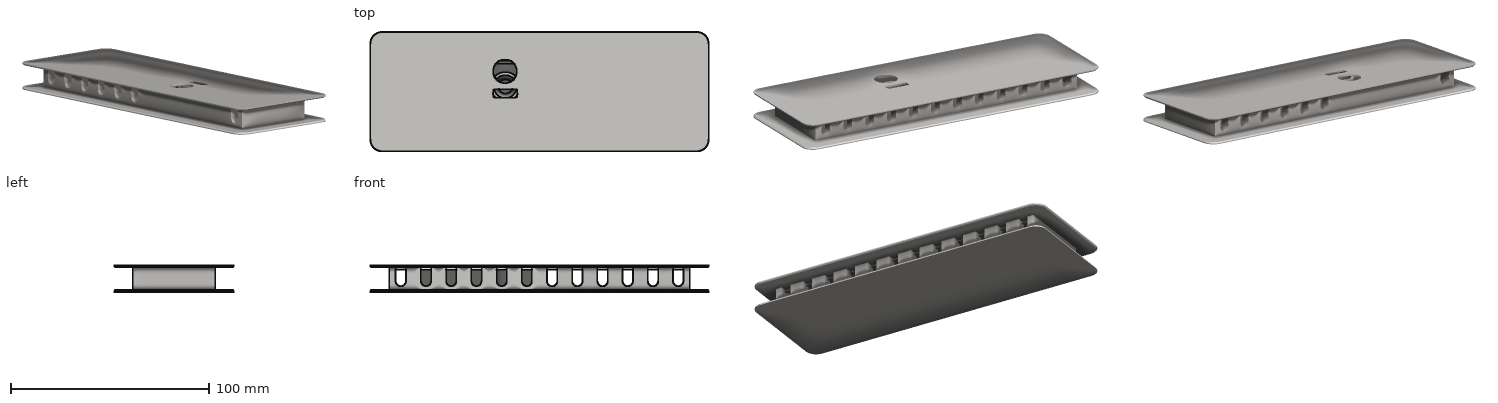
import cadquery as cq

LENGTH = 170.7
WIDTH = 60.3
HEIGHT = 13.5

PLATE_THICKNESS = 1.0
PLATE_CORNER_RADIUS = 6.0
PLATE_CHAMFER = 0.5

CORE_LENGTH = 151.7
CORE_WIDTH = 41.6
CORE_HEIGHT = HEIGHT - 2 * PLATE_THICKNESS
CORE_TOP = CORE_HEIGHT / 2
CORE_BOTTOM = -CORE_TOP
CAVITY_LENGTH = 145.8
CAVITY_WIDTH = 31.4
FLOOR_THICKNESS = 1.0
PAD_WIDTH = 28.3
PAD_THICKNESS = 0.5

SLOT_COUNT = 12
SLOT_PITCH = 12.72
SLOT_WIDTH = 5.1
SLOT_BOTTOM = -3.8
FRONT_ONLY_SLOTS = range(1, 6)

RIB_DEPTH = 1.28
RIB_TOP_WIDTH = 1.4

CUP_X = -17.2
CUP_Y = 2.5
CUP_RADIUS = 7.3
CUP_TOP = CORE_TOP - 0.3
CUP_MOUTH_RADIUS = 5.8
CUP_FLOOR_RADIUS = 3.5
CUP_DEPTH = 6.8

PORT_X = -17.4
PORT_Y = 10.2
PORT_RADIUS = 6.0
WINDOW_Y = -0.9
WINDOW_LENGTH = 12.3
WINDOW_WIDTH = 4.3
WINDOW_CORNER_RADIUS = 1.0


def block(length, width, bottom, top):
    """Box centred in X and Y between two heights."""
    return (
        cq.Workplane("XY", origin=(0, 0, bottom))
        .rect(length, width)
        .extrude(top - bottom)
    )


def cover_plate(bottom, inner_face):
    """Rounded plate, chamfered around the face that meets the core."""
    plate = block(LENGTH, WIDTH, bottom, bottom + PLATE_THICKNESS)
    plate = plate.edges("|Z").fillet(PLATE_CORNER_RADIUS)
    return plate.faces(inner_face).edges().chamfer(PLATE_CHAMFER).solids()


def rib(side):
    """Rib along one long wall (side is +1 or -1) that widens outward at 45 degrees."""
    inner = side * CAVITY_WIDTH / 2
    outer_top = inner + side * RIB_TOP_WIDTH
    outer_bottom = outer_top + side * RIB_DEPTH
    rib_bottom = CORE_TOP - RIB_DEPTH
    return (
        cq.Workplane("YZ")
        .polyline([
            (inner, CORE_TOP),
            (outer_top, CORE_TOP),
            (outer_bottom, rib_bottom),
            (inner, rib_bottom),
        ])
        .close()
        .extrude(CAVITY_LENGTH / 2, both=True)
    )


def wall_slot(index):
    """Cutter for one round-bottomed slot, open at the top of the core."""
    x = (index - (SLOT_COUNT - 1) / 2) * SLOT_PITCH
    radius = SLOT_WIDTH / 2
    arc_height = SLOT_BOTTOM + radius
    start_y = 0 if index in FRONT_ONLY_SLOTS else CORE_WIDTH / 2
    return (
        cq.Workplane("XZ", origin=(x, start_y, 0))
        .moveTo(-radius, CORE_TOP)
        .lineTo(-radius, arc_height)
        .threePointArc((0, SLOT_BOTTOM), (radius, arc_height))
        .lineTo(radius, CORE_TOP)
        .close()
        .extrude(start_y + CORE_WIDTH / 2)
    )


def cup():
    """Round post with a tapered bowl sunk into its top."""
    post = (
        cq.Workplane("XY", origin=(CUP_X, CUP_Y, CORE_BOTTOM))
        .circle(CUP_RADIUS)
        .extrude(CUP_TOP - CORE_BOTTOM)
    )
    bowl = (
        cq.Workplane("XY", origin=(CUP_X, CUP_Y, CUP_TOP - CUP_DEPTH))
        .circle(CUP_FLOOR_RADIUS)
        .workplane(offset=CUP_DEPTH)
        .circle(CUP_MOUTH_RADIUS)
        .loft()
    )
    return post.cut(bowl)


def make_bottom_plate():
    return cover_plate(-HEIGHT / 2, ">Z")


def make_core():
    floor_top = CORE_BOTTOM + FLOOR_THICKNESS
    core = block(CORE_LENGTH, CORE_WIDTH, CORE_BOTTOM, CORE_TOP)
    core = core.cut(block(CAVITY_LENGTH, CAVITY_WIDTH, floor_top, CORE_TOP))
    for index in range(SLOT_COUNT):
        core = core.cut(wall_slot(index))
    for side in (-1, 1):
        core = core.cut(rib(side))
    core = core.union(block(CAVITY_LENGTH, PAD_WIDTH, floor_top, floor_top + PAD_THICKNESS))
    return core.union(cup()).solids()


def make_top_plate():
    plate = cover_plate(CORE_TOP, "<Z")
    port = (
        cq.Workplane("XY", origin=(PORT_X, PORT_Y, CORE_TOP))
        .circle(PORT_RADIUS)
        .extrude(PLATE_THICKNESS)
    )
    window = (
        cq.Workplane("XY", origin=(CUP_X, WINDOW_Y, CORE_TOP))
        .rect(WINDOW_LENGTH, WINDOW_WIDTH)
        .extrude(PLATE_THICKNESS)
        .edges("|Z")
        .fillet(WINDOW_CORNER_RADIUS)
    )
    plate = plate.cut(port).cut(window)
    for side in (-1, 1):
        plate = plate.union(rib(side))
    return plate.solids()


bottom_plate = make_bottom_plate()
core = make_core()
top_plate = make_top_plate()

result = cq.Compound.makeCompound([bottom_plate.val(), core.val(), top_plate.val()])